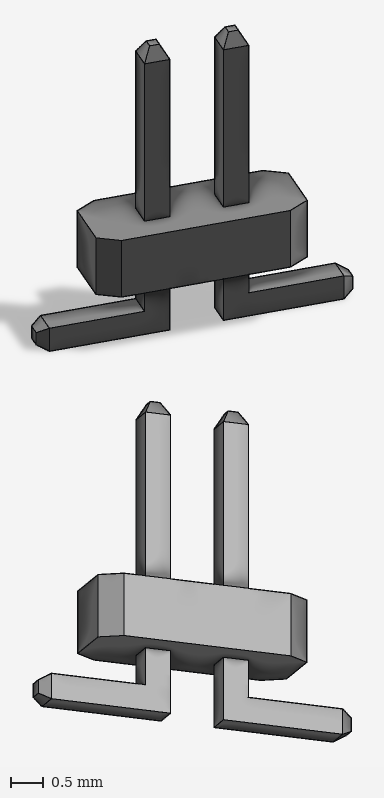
import cadquery as cq

pitch = 1.27
body_width = pitch
body_length = 3.4
body_height = 1.0
corner_x = 0.205
corner_y = 0.34

total_length = 5.1
total_height = 5.0
pin_size = 0.41
body_bottom = 1.0
post_tip_length = 0.225
post_tip_size = 0.16
foot_tip_length = 0.18
foot_tip_size = 0.215


def make_body():
    """Housing standing clear of the feet."""
    x = body_width / 2
    y = body_length / 2
    outline = [
        (x - corner_x, -y),
        (x, -y + corner_y),
        (x, y - corner_y),
        (x - corner_x, y),
        (-x + corner_x, y),
        (-x, y - corner_y),
        (-x, -y + corner_y),
        (-x + corner_x, -y),
    ]
    body = cq.Workplane("XY").polyline(outline).close().extrude(body_height)
    return body.translate((0, 0, body_bottom))


def make_bar(length, tip_length, tip_size):
    """Upright square bar on the origin, ending in a blunt tapered tip."""
    shank_length = length - tip_length
    shank = cq.Workplane("XY").rect(pin_size, pin_size).extrude(shank_length)
    tip = (
        cq.Workplane("XY", origin=(0, 0, shank_length))
        .rect(pin_size, pin_size)
        .workplane(offset=tip_length)
        .rect(tip_size, tip_size)
        .loft(ruled=True)
    )
    return shank.union(tip)


def make_pin():
    """Post with its foot pointing toward +Y."""
    post_y = pitch / 2
    foot_start = post_y - pin_size / 2
    foot_length = total_length / 2 - foot_start
    post = make_bar(total_height, post_tip_length, post_tip_size).translate((0, post_y, 0))
    foot = (
        make_bar(foot_length, foot_tip_length, foot_tip_size)
        .rotate((0, 0, 0), (1, 0, 0), -90)
        .translate((0, foot_start, pin_size / 2))
    )
    return post.union(foot)


pin = make_pin()
result = make_body().union(pin).union(pin.mirror("XZ"))